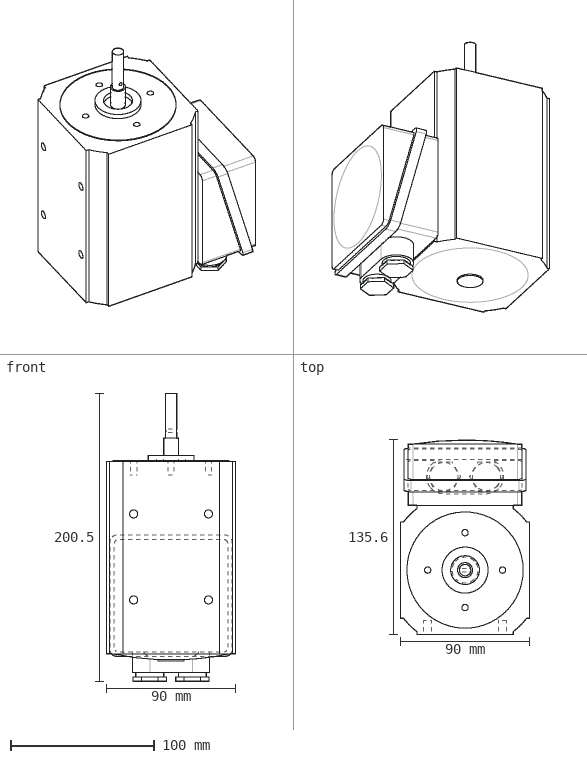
import cadquery as cq
import math


BODY_WIDTH = 90.0
BODY_HEIGHT = 134.1
BODY_FLAT_WIDTH = 67.2
BODY_CORNER_RADIUS = 54.5
BODY_HALF = BODY_WIDTH / 2
FLAT_HALF = BODY_FLAT_WIDTH / 2

COVER_RADIUS = 40.5
COVER_THICKNESS = 0.6
COVER_TOP = BODY_HEIGHT + COVER_THICKNESS
COLLAR_RADIUS = 16.0
COLLAR_BORE_RADIUS = 10.0
COLLAR_TOP = 138.3
SHAFT_LOWER_RADIUS = 5.2
SHAFT_UPPER_RADIUS = 4.0
SHAFT_STEP_Z = 150.4
SHAFT_TOP = 181.5
PIN_HOLE_DIAMETER = 2.5
PIN_HOLE_Z = 155.4

HOLE_OFFSET = 26.0
HOLE_DEPTH = 10.0
END_HOLE_DIAMETER = 4.5
SIDE_HOLE_DIAMETER = 5.6
SIDE_HOLE_PITCH_Z = 60.0
SIDE_HOLE_CENTRE_Z = 67.5

DOME_HEIGHT = 4.2
END_BOSS_RADIUS = 9.0
END_BOSS_HEIGHT = 5.0

BOX_WIDTH = 79.2
BOX_HEIGHT = 78.5
BOX_CORNER_RADIUS = 3.2
BOX_CENTRE_Z = 40.5
BOX_OUTER_Y = 87.8
BOX_DOME_RADIUS = 36.5
BOX_DOME_HEIGHT = 2.8

LIP_OVERHANG = 3.0
LIP_CORNER_RADIUS = 5.0
LIP_THICKNESS_Y = 7.8
LIP_CENTRE_Y = 69.8
LIP_ANGLE = 15.0

GLAND_OFFSET_X = 14.8
GLAND_Y = 65.2
GLAND_BASE_RADIUS = 12.0
GLAND_BASE_BOTTOM = -13.0
GLAND_NECK_RADIUS = 9.8
GLAND_NECK_BOTTOM = -16.0
GLAND_NUT_FLATS = 20.3
GLAND_NUT_BOTTOM = -19.0


def cylinder(radius, bottom, top):
    """Upright cylinder on the motor axis."""
    return cq.Workplane("XY").workplane(offset=bottom).circle(radius).extrude(top - bottom)


def spherical_cap(radius, height):
    """Solid cap standing on Z = 0 with its crown at Z = height."""
    sphere_radius = (radius**2 + height**2) / (2 * height)
    return (
        cq.Workplane("XZ")
        .lineTo(radius, 0)
        .radiusArc((0, height), -sphere_radius)
        .close()
        .revolve(360, (0, 0, 0), (0, 1, 0))
    )


def rounded_prism(width, height, corner_radius, start_y, end_y):
    """Block along Y, centred on the terminal box, with its long edges rounded."""
    return (
        cq.Workplane("XY")
        .box(width, end_y - start_y, height)
        .edges("|Y")
        .fillet(corner_radius)
        .translate((0, (start_y + end_y) / 2, BOX_CENTRE_Z))
    )


def housing():
    """Square column whose corners are recessed to an arc about the motor axis."""
    arc_end = math.sqrt(BODY_CORNER_RADIUS**2 - FLAT_HALF**2)
    arc_middle = BODY_CORNER_RADIUS / math.sqrt(2)
    outline = cq.Workplane("XY").moveTo(BODY_HALF, -FLAT_HALF)
    for quarter_turn in range(4):
        angle = math.radians(90 * quarter_turn)

        def turned(x, y):
            return (
                x * math.cos(angle) - y * math.sin(angle),
                x * math.sin(angle) + y * math.cos(angle),
            )

        outline = (
            outline.lineTo(*turned(BODY_HALF, FLAT_HALF))
            .lineTo(*turned(arc_end, FLAT_HALF))
            .threePointArc(turned(arc_middle, arc_middle), turned(FLAT_HALF, arc_end))
            .lineTo(*turned(FLAT_HALF, BODY_HALF))
        )
    return outline.close().extrude(BODY_HEIGHT)


def output_end():
    """Cover disc, bored collar and stepped shaft with a cross pin hole."""
    cover = cylinder(COVER_RADIUS, BODY_HEIGHT, COVER_TOP)
    collar = cylinder(COLLAR_RADIUS, COVER_TOP, COLLAR_TOP)
    bore = cylinder(COLLAR_BORE_RADIUS, COVER_TOP, COLLAR_TOP)
    lower_shaft = cylinder(SHAFT_LOWER_RADIUS, COVER_TOP, SHAFT_STEP_Z)
    upper_shaft = cylinder(SHAFT_UPPER_RADIUS, SHAFT_STEP_Z, SHAFT_TOP)
    pin_hole = (
        cq.Workplane("YZ")
        .center(0, PIN_HOLE_Z)
        .circle(PIN_HOLE_DIAMETER / 2)
        .extrude(SHAFT_LOWER_RADIUS, both=True)
    )
    return cover.union(collar.cut(bore)).union(lower_shaft).union(upper_shaft).cut(pin_hole)


def bottom_end():
    """Shallow dome under the housing with a small round boss at its centre."""
    dome = spherical_cap(COVER_RADIUS, DOME_HEIGHT).mirror("XY")
    return dome.union(cylinder(END_BOSS_RADIUS, -END_BOSS_HEIGHT, 0))


def end_holes():
    """Four blind holes around the shaft."""
    return (
        cq.Workplane("XY")
        .workplane(offset=COVER_TOP)
        .polarArray(HOLE_OFFSET, 0, 360, 4)
        .circle(END_HOLE_DIAMETER / 2)
        .extrude(-HOLE_DEPTH)
    )


def side_holes():
    """Four blind holes in the -Y face of the housing."""
    return (
        cq.Workplane("XZ", origin=(0, -BODY_HALF, SIDE_HOLE_CENTRE_Z))
        .rarray(2 * HOLE_OFFSET, SIDE_HOLE_PITCH_Z, 2, 2)
        .circle(SIDE_HOLE_DIAMETER / 2)
        .extrude(-HOLE_DEPTH)
    )


def sloping_lip():
    """Raised band around the box, bounded by two parallel sloping planes."""
    width = BOX_WIDTH + 2 * LIP_OVERHANG
    height = BOX_HEIGHT + 2 * LIP_OVERHANG
    lean = height / 2 * math.tan(math.radians(LIP_ANGLE))
    half_thickness = LIP_THICKNESS_Y / 2
    slab = (
        cq.Workplane("YZ", origin=(0, LIP_CENTRE_Y, BOX_CENTRE_Z))
        .moveTo(lean - half_thickness, -height / 2)
        .lineTo(lean + half_thickness, -height / 2)
        .lineTo(half_thickness - lean, height / 2)
        .lineTo(-half_thickness - lean, height / 2)
        .close()
        .extrude(width / 2, both=True)
    )
    return slab.intersect(rounded_prism(width, height, LIP_CORNER_RADIUS, BODY_HALF, BOX_OUTER_Y))


def terminal_box():
    """Rounded box on the +Y face with a domed outer face and a sloping lip."""
    box = rounded_prism(BOX_WIDTH, BOX_HEIGHT, BOX_CORNER_RADIUS, BODY_HALF, BOX_OUTER_Y)
    dome = (
        spherical_cap(BOX_DOME_RADIUS, BOX_DOME_HEIGHT)
        .rotate((0, 0, 0), (1, 0, 0), -90)
        .translate((0, BOX_OUTER_Y, BOX_CENTRE_Z))
    )
    return box.union(dome).union(sloping_lip())


def cable_glands():
    """Slot-shaped base under the box carrying two necks with hexagon nuts."""
    glands = (
        cq.Workplane("XY", origin=(0, GLAND_Y, GLAND_BASE_BOTTOM))
        .slot2D(2 * (GLAND_OFFSET_X + GLAND_BASE_RADIUS), 2 * GLAND_BASE_RADIUS)
        .extrude(BOX_CENTRE_Z - BOX_HEIGHT / 2 - GLAND_BASE_BOTTOM)
    )
    nut_corners = GLAND_NUT_FLATS / math.cos(math.radians(30))
    for x in (-GLAND_OFFSET_X, GLAND_OFFSET_X):
        neck = cylinder(GLAND_NECK_RADIUS, GLAND_NECK_BOTTOM, GLAND_BASE_BOTTOM)
        nut = (
            cq.Workplane("XY", origin=(0, 0, GLAND_NUT_BOTTOM))
            .polygon(6, nut_corners)
            .extrude(GLAND_NECK_BOTTOM - GLAND_NUT_BOTTOM)
        )
        glands = glands.union(neck.union(nut).translate((x, GLAND_Y, 0)))
    return glands


motor = housing().union(output_end()).union(bottom_end()).cut(end_holes()).cut(side_holes())
result = motor.union(terminal_box()).union(cable_glands())